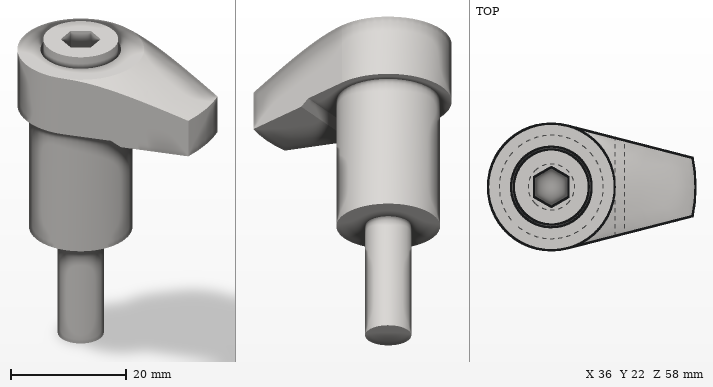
import cadquery as cq
import math

total_height = 58.0
stud_length = 21.0
sleeve_length = 24.0
head_rise = 2.0
shoulder_z = stud_length + sleeve_length
hub_top_z = total_height - head_rise

stud_diameter = 8.0
sleeve_diameter = 18.0
head_diameter = 13.0
socket_across_flats = 6.0
socket_depth = 4.0

hub_radius = 10.99
bore_diameter = 14.0
lever_reach = 25.0
lever_taper = 14.4
lever_drop = 5.0
pad_depth = 1.0
pad_ramp_end = 12.7


def cylinder(diameter, bottom_z, top_z):
    return cq.Workplane("XY", origin=(0, 0, bottom_z)).circle(diameter / 2).extrude(top_z - bottom_z)


def make_spindle():
    """Stud, shouldered sleeve and socketed head turned as one piece."""
    stud = cylinder(stud_diameter, 0, stud_length)
    sleeve = cylinder(sleeve_diameter, stud_length, shoulder_z)
    head = cylinder(head_diameter, shoulder_z, total_height)
    socket = (
        cq.Workplane("XY", origin=(0, 0, total_height))
        .polygon(6, socket_across_flats, circumscribed=True)
        .extrude(-socket_depth)
    )
    return stud.union(sleeve).union(head).cut(socket)


def handle_blank():
    """Round hub blended into the tapered lever by tangent sides."""
    taper = math.radians(lever_taper)
    tangent_x = hub_radius * math.sin(taper)
    tangent_y = hub_radius * math.cos(taper)
    side_length = math.sqrt(lever_reach**2 - hub_radius**2)
    end_x = tangent_x + side_length * math.cos(taper)
    end_y = tangent_y - side_length * math.sin(taper)
    bottom_z = shoulder_z - pad_depth
    return (
        cq.Workplane("XY", origin=(0, 0, bottom_z))
        .moveTo(tangent_x, tangent_y)
        .lineTo(end_x, end_y)
        .threePointArc((lever_reach, 0), (end_x, -end_y))
        .lineTo(tangent_x, -tangent_y)
        .threePointArc((-hub_radius, 0), (tangent_x, tangent_y))
        .close()
        .extrude(hub_top_z - bottom_z)
    )


def top_envelope():
    """Solid of revolution with a flat hub top and a cone falling to the lever end."""
    base_z = shoulder_z - pad_depth
    return (
        cq.Workplane("XZ")
        .moveTo(0, base_z)
        .lineTo(lever_reach, base_z)
        .lineTo(lever_reach, hub_top_z - lever_drop)
        .lineTo(hub_radius, hub_top_z)
        .lineTo(0, hub_top_z)
        .close()
        .revolve(360, (0, 0, 0), (0, 1, 0))
    )


def underside_relief():
    """Cut raising the hub underside to the shoulder, with a ramp down to the lever."""
    bottom_z = shoulder_z - pad_depth
    return (
        cq.Workplane("XZ")
        .moveTo(-hub_radius, bottom_z)
        .lineTo(pad_ramp_end, bottom_z)
        .lineTo(hub_radius, shoulder_z)
        .lineTo(-hub_radius, shoulder_z)
        .close()
        .extrude(hub_radius, both=True)
    )


def make_handle():
    bore = cylinder(bore_diameter, shoulder_z, hub_top_z)
    return handle_blank().intersect(top_envelope()).cut(underside_relief()).cut(bore)


spindle = make_spindle()
handle = make_handle()

result = cq.Compound.makeCompound([spindle.val(), handle.val()])